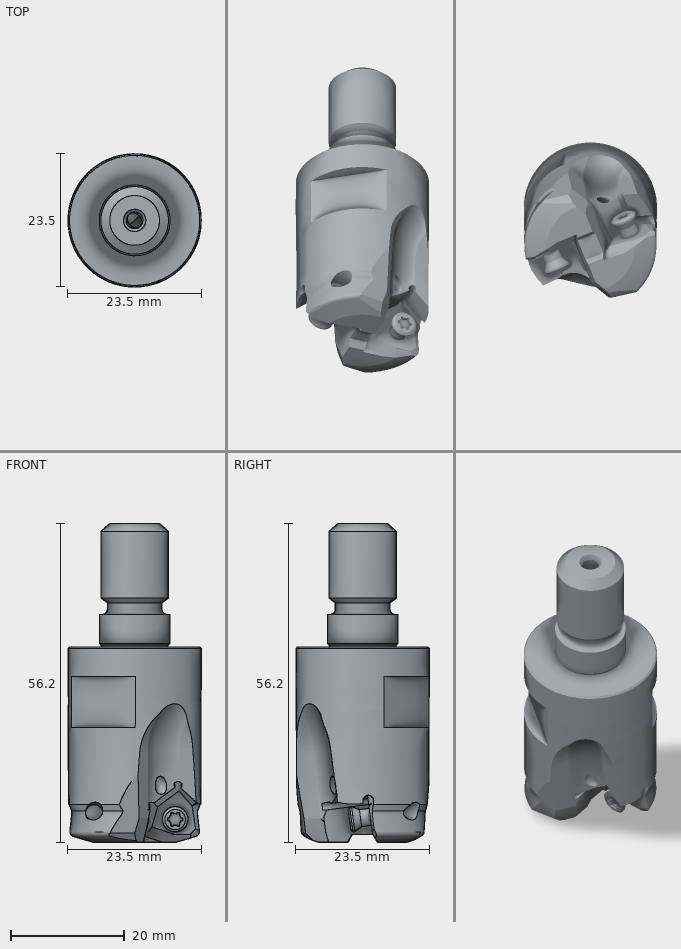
import cadquery as cq
import math

total_height = 56.2
body_top = 34.45
body_radius = 11.75
body_edge_chamfer = 0.3
tooth_count = 2
tooth_pitch = 360 / tooth_count

shank_radius = 5.95
shank_bottom = 43.05
shank_chamfer_width = 1.6
shank_chamfer_height = 1.4
relief_radius = 4.85
relief_top = 42.2
collar_radius = 6.25
collar_top = 40.2
collar_bottom = 35.05
neck_radius = 5.9
collar_taper = 0.35
collar_fillet = 0.85

band_top = 27.25
band_bottom = 23.15
band_taper = 0.03
skirt_bottom = 6.7
skirt_bottom_radius = 11.7
groove_radius = 11.25
groove_top = 5.5
groove_bottom = 4.85
nose_radius = 11.65
nose_height = 1.25
nose_corner_round = 0.55
nose_face_radius = 7.75

slot_depth = 1.35
slot_mouth_width = 5.15
slot_floor_width = 3.7

bore_radius = 1.45
bore_bottom = 18.55
bore_mouth_radius = 1.95
bore_mouth_depth = 0.85
branch_radius = 1.1
branch_exit = cq.Vector(5.3, -5.9, 8.7)

flat_distance = 9.5
flat_bottom = 20.25
flat_top = 29.2
flat_angle = 234.7

axial_tilt = 7.5
flute_start = cq.Vector(2.35, -8.95, 16.2)
flute_wall_angle = 28
flute_fillet_start_angle = 80
flute_fillet_end_angle = -18
flute_fillet_radius = 4.25
flute_bend_radius = 10.9
flute_wall_reach = 6.75
flute_length = 19.1

fold_start = cq.Vector(2.15, -7.25, 3.4)
fold_angle = 18
fold_width = 7.3
fold_inner_reach = 1.7
fold_height = 9
fold_depth = 3.4

heel_offset = -9.8
heel_slope_x = 0.173
heel_slope_z = -0.168
heel_foot = 1.65
heel_size = 33.7
heel_depth = 11.25

seat_center = cq.Vector(7.15, 1.35, 4.5)
pad_height = 1.25
pad_taper = 60
pocket_height = 8.15
corner_relief_radius = 0.7
undercut_radius = 0.95
pad_outline = [(0.7, 4.6), (3.0, 1.95), (3.6, -2.15), (2.55, -3.2), (0.15, -3.2), (-4.1, -1.8), (-3.1, 1.8)]
pocket_left_corner = (-4.25, 2.85)
pocket_top_corner = (0.5, 6.3)
pocket_right_end = (6.75, 0.45)
pocket_outline = [pocket_top_corner, pocket_right_end, (6.75, -7.85), (-6.45, -7.85), pocket_left_corner]

screw_radius = 1.5
screw_hole_depth = 14.05
screw_end = -4.9
head_radius = 2.25
head_cone_bottom = 1.75
head_cone_top = 3.05
head_rim_top = 3.4
head_top = 3.7
head_face_radius = 1.8
socket_depth = 0.85
socket_core_radius = 1.05
socket_lobe_count = 6
socket_lobe_radius = 0.3

tilt_sine = math.sin(math.radians(axial_tilt))
tilt_cosine = math.cos(math.radians(axial_tilt))
seat_plane = cq.Plane(origin=seat_center, xDir=(1, 0, 0), normal=(0, -tilt_cosine, -tilt_sine))


def around_tool(shape, index):
    """Turns a shape of the first tooth to the tooth with the given index."""
    return shape.rotate((0, 0, 0), (0, 0, 1), index * tooth_pitch)


def turned_blank():
    """Body, collar and shank as one turned profile."""
    nose_slope = math.atan2(nose_height, nose_radius - nose_face_radius)
    round_start = (
        nose_radius - nose_corner_round * math.cos(nose_slope),
        nose_height - nose_corner_round * math.sin(nose_slope),
    )
    fillet_offset = collar_fillet * (1 - math.sqrt(0.5))
    return (
        cq.Workplane("XZ")
        .lineTo(nose_face_radius, 0)
        .lineTo(*round_start)
        .tangentArcPoint((nose_radius, nose_height + nose_corner_round), relative=False)
        .lineTo(groove_radius, groove_bottom)
        .lineTo(groove_radius, groove_top)
        .lineTo(skirt_bottom_radius, skirt_bottom)
        .lineTo(body_radius - band_taper, band_bottom)
        .lineTo(body_radius, band_top)
        .lineTo(body_radius, body_top - body_edge_chamfer)
        .lineTo(body_radius - body_edge_chamfer, body_top)
        .lineTo(neck_radius, body_top)
        .lineTo(neck_radius, collar_bottom - collar_taper)
        .lineTo(collar_radius, collar_bottom)
        .lineTo(collar_radius, collar_top)
        .lineTo(relief_radius + collar_fillet, collar_top)
        .threePointArc(
            (relief_radius + fillet_offset, collar_top + fillet_offset),
            (relief_radius, collar_top + collar_fillet),
        )
        .lineTo(relief_radius, relief_top)
        .lineTo(shank_radius, shank_bottom)
        .lineTo(shank_radius, total_height - shank_chamfer_height)
        .lineTo(shank_radius - shank_chamfer_width, total_height)
        .lineTo(0, total_height)
        .close()
        .revolve(360, (0, 0, 0), (0, 1, 0))
    )


def coolant_bore():
    """Axial bore with its countersunk mouth."""
    profile = [
        (0, bore_bottom),
        (bore_radius, bore_bottom),
        (bore_radius, total_height - bore_mouth_depth),
        (bore_mouth_radius, total_height),
        (0, total_height),
    ]
    return cq.Workplane("XZ").polyline(profile).close().revolve(360, (0, 0, 0), (0, 1, 0))


def coolant_branch():
    """Slanted hole from the foot of the bore into the flute."""
    start = cq.Vector(0, 0, bore_bottom)
    run = branch_exit - start
    return cq.Workplane(cq.Solid.makeCylinder(branch_radius, run.Length, start, run))


def wrench_flat():
    """Block that leaves a flat on the side of the body."""
    depth = body_radius - flat_distance
    block = cq.Workplane("XY").box(depth, 2 * body_radius, flat_top - flat_bottom, centered=(False, True, False))
    return block.translate((flat_distance, 0, flat_bottom)).rotate((0, 0, 0), (0, 0, 1), flat_angle)


def flute():
    """Straight flute that runs out upwards in a bend away from its wall."""
    angle = math.radians(flute_wall_angle)
    plane = cq.Plane(
        origin=flute_start,
        xDir=(math.cos(angle), -math.sin(angle), -math.sin(angle) * math.tan(math.radians(axial_tilt))),
        normal=(0, -tilt_sine, tilt_cosine),
    )
    start_heading = angle + math.radians(flute_fillet_start_angle)
    end_heading = angle + math.radians(flute_fillet_end_angle)

    def fillet_point(heading):
        return (
            flute_fillet_radius * (math.sin(start_heading) - math.sin(heading)),
            flute_fillet_radius * (math.cos(heading) - math.cos(start_heading)),
        )

    fillet_middle = fillet_point((start_heading + end_heading) / 2)
    fillet_end = fillet_point(end_heading)
    floor_end = fillet_end[1] + (flute_bend_radius - fillet_end[0]) * math.tan(angle)
    section = (
        cq.Workplane(plane)
        .moveTo(0, -flute_wall_reach)
        .lineTo(0, 0)
        .threePointArc(fillet_middle, fillet_end)
        .lineTo(flute_bend_radius, floor_end)
        .lineTo(flute_bend_radius, -flute_wall_reach)
        .close()
        .val()
    )
    straight = cq.Workplane(plane).add(section).toPending().extrude(-flute_length)
    bend = (
        cq.Workplane(plane)
        .add(section)
        .toPending()
        .revolve(90, (flute_bend_radius, 0, 0), (flute_bend_radius, 1, 0))
    )
    return straight.union(bend)


def flute_fold():
    """Block that leans the foot of the flute wall back below the fold."""
    angle = math.radians(flute_wall_angle)
    plane = cq.Plane(
        origin=fold_start,
        xDir=(math.sin(angle), math.cos(angle), 0),
        normal=(math.cos(angle), -math.sin(angle), -math.tan(math.radians(fold_angle))),
    )
    block = cq.Workplane(plane).center(fold_inner_reach - fold_width / 2, 0)
    return block.rect(fold_width, fold_height).extrude(fold_depth)


def heel_block(foot_height, slope):
    """Block outside a plane that meets the heel relief at a height and has its own slope along Z."""
    plane = cq.Plane(
        origin=(0, heel_offset + heel_slope_z * foot_height, foot_height),
        xDir=(1, heel_slope_x, 0),
        normal=(heel_slope_x, -1, slope),
    )
    return cq.Workplane(plane).rect(heel_size, heel_size).extrude(heel_depth)


def heel_relief():
    """Planar relief with a chamfer along its foot."""
    return heel_block(0, heel_slope_z).union(heel_block(heel_foot, -1))


def nose_slot():
    """Trapezoidal slot across the lower end, along X."""
    profile = [
        (-slot_mouth_width / 2, 0),
        (slot_mouth_width / 2, 0),
        (slot_floor_width / 2, slot_depth),
        (-slot_floor_width / 2, slot_depth),
    ]
    return cq.Workplane("YZ").polyline(profile).close().extrude(body_radius, both=True)


def wall_undercut(corner, run):
    """Round groove along the foot of a pocket wall, from a corner in a direction on the seat plane."""
    start = seat_plane.toWorldCoords((*corner, 0))
    end = seat_plane.toWorldCoords((corner[0] + run[0], corner[1] + run[1], 0))
    length = (end - start).Length
    return cq.Workplane(cq.Solid.makeCylinder(undercut_radius, length, start, end - start))


def insert_pocket():
    """Pocket round the raised seat pad, with relieved wall corners and the screw hole."""
    base = cq.Workplane(seat_plane).workplane(offset=-pad_height)
    pocket = base.polyline(pocket_outline).close().extrude(pad_height + pocket_height)
    reliefs = (
        base.pushPoints([pocket_left_corner, pocket_top_corner])
        .circle(corner_relief_radius)
        .extrude(pad_height + pocket_height)
    )
    pad = cq.Workplane(seat_plane).polyline(pad_outline).close().extrude(-pad_height, taper=-pad_taper)
    hole = cq.Workplane(seat_plane).circle(screw_radius).extrude(-screw_hole_depth)
    run = (pocket_right_end[0] - pocket_top_corner[0], pocket_right_end[1] - pocket_top_corner[1])
    undercut = wall_undercut(pocket_top_corner, run)
    return pocket.union(reliefs).union(undercut).cut(pad).union(hole)


def make_tool_body():
    body = turned_blank().cut(coolant_bore()).cut(nose_slot())
    features = [
        wrench_flat(),
        flute(),
        flute_fold(),
        heel_relief(),
        insert_pocket(),
        coolant_branch(),
    ]
    for index in range(tooth_count):
        for feature in features:
            body = body.cut(around_tool(feature, index))
    return body


def make_screw():
    """Countersunk screw with a six-lobed socket, placed at the first tooth."""
    profile = [
        (0, screw_end),
        (screw_radius, screw_end),
        (screw_radius, head_cone_bottom),
        (head_radius, head_cone_top),
        (head_radius, head_rim_top),
        (head_face_radius, head_top),
        (0, head_top),
    ]
    axial_plane = cq.Plane(origin=seat_center, xDir=(1, 0, 0), normal=-seat_plane.yDir)
    screw = cq.Workplane(axial_plane).polyline(profile).close().revolve(360, (0, 0, 0), (0, 1, 0))
    socket_face = cq.Workplane(seat_plane).workplane(offset=head_top)
    socket = socket_face.circle(socket_core_radius).extrude(-socket_depth)
    lobes = (
        socket_face.polarArray(socket_core_radius, 0, 360, socket_lobe_count)
        .circle(socket_lobe_radius)
        .extrude(-socket_depth)
    )
    return screw.cut(socket.union(lobes))


tool_body = make_tool_body()
screws = [around_tool(make_screw(), index) for index in range(tooth_count)]
result = cq.Compound.makeCompound([tool_body.val(), *[screw.val() for screw in screws]])